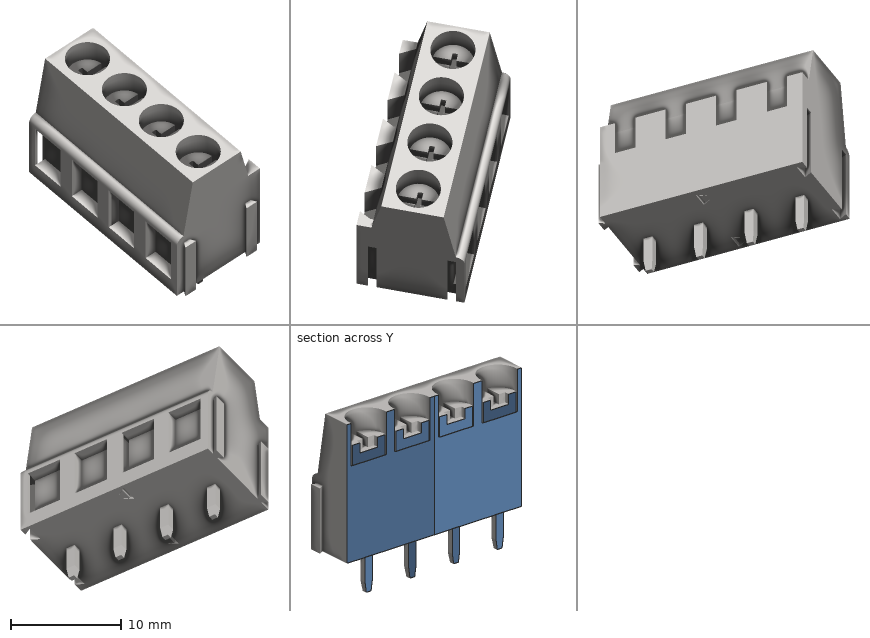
import cadquery as cq
import math


OVERALL_LENGTH = 20.87
KEY_LENGTH = 0.55
MODULE_COUNT = 2
WAYS_PER_MODULE = 2
MODULE_WIDTH = (OVERALL_LENGTH - KEY_LENGTH) / MODULE_COUNT
PITCH = MODULE_WIDTH / WAYS_PER_MODULE
DEPTH = 10.0
OVERALL_HEIGHT = 17.3
PIN_LENGTH = 3.5
HOUSING_HEIGHT = OVERALL_HEIGHT - PIN_LENGTH

FRONT_ROUND_RADIUS = 0.8
FRONT_ROUND_TOP = 7.4
FRONT_FACE_TOP = FRONT_ROUND_TOP - FRONT_ROUND_RADIUS
TOP_FRONT_Y = 1.92
TOP_BACK_Y = 7.7
LEDGE_INNER_Y = 8.6
LEDGE_HEIGHT = 9.91

WINDOW_WIDTH = 3.5
WINDOW_BOTTOM = 1.57
WINDOW_TOP = 6.43
WINDOW_DEPTH = 1.2

DOVETAIL_ANGLE = 30.0
DOVETAIL_SLOPE = math.tan(math.radians(DOVETAIL_ANGLE))
DOVETAIL_CENTRES_Y = [1.2, 8.55]
KEY_BASE_WIDTH = 0.65
KEY_HEIGHT = 6.5
GROOVE_MOUTH_WIDTH = 0.8
GROOVE_DEPTH = 0.81
GROOVE_HEIGHT = FRONT_FACE_TOP

NOTCH_BACK_WIDTH = 2.05
NOTCH_LENGTH = DEPTH - LEDGE_INNER_Y
NOTCH_INNER_WIDTH = NOTCH_BACK_WIDTH + 2 * NOTCH_LENGTH * DOVETAIL_SLOPE
NOTCH_FLOOR = GROOVE_HEIGHT
NOTCH_MIN_X = 0.9

WAY_CENTRE_Y = 4.8
WELL_DIAMETER = 4.1
SCREW_DIAMETER = 3.9
SCREW_RECESS = 2.21
SCREW_HEIGHT = 2.0
LONG_SLOT_WIDTH = 0.6
CROSS_SLOT_WIDTH = 0.5
CROSS_SLOT_LENGTH = 2.07
SCREW_SLOT_DEPTH = 1.0
SCREW_TOP = HOUSING_HEIGHT - SCREW_RECESS
WELL_FLOOR = SCREW_TOP - SCREW_HEIGHT

PIN_SIZE_X = 0.9
PIN_SIZE_Y = 0.8
PIN_TIP_X = 0.6
PIN_TIP_Y = 0.5
PIN_TIP_LENGTH = 1.05


def way_centres(way_count):
    return [(way + 0.5) * PITCH for way in range(way_count)]


def box(x_range, y_range, z_range):
    """Box spanning the given (low, high) ranges."""
    size = [high - low for low, high in (x_range, y_range, z_range)]
    corner = cq.Vector(x_range[0], y_range[0], z_range[0])
    return cq.Workplane(cq.Solid.makeBox(*size, pnt=corner))


def housing_blank():
    """Extruded side profile with a rounded front shoulder and a low ledge at the back."""
    arc_offset = FRONT_ROUND_RADIUS * (1 - math.sqrt(0.5))
    return (
        cq.Workplane("YZ")
        .moveTo(0, 0)
        .lineTo(0, FRONT_FACE_TOP)
        .threePointArc(
            (arc_offset, FRONT_ROUND_TOP - arc_offset),
            (FRONT_ROUND_RADIUS, FRONT_ROUND_TOP),
        )
        .lineTo(TOP_FRONT_Y, HOUSING_HEIGHT)
        .lineTo(TOP_BACK_Y, HOUSING_HEIGHT)
        .lineTo(LEDGE_INNER_Y, LEDGE_HEIGHT)
        .lineTo(DEPTH, LEDGE_HEIGHT)
        .lineTo(DEPTH, 0)
        .close()
        .extrude(MODULE_WIDTH)
    )


def dovetail(start_x, centre_y, narrow_width, length, height):
    """Upright dovetail bar that widens towards +X."""
    narrow_half = narrow_width / 2
    wide_half = narrow_half + length * DOVETAIL_SLOPE
    return (
        cq.Workplane("XY")
        .moveTo(start_x, centre_y - narrow_half)
        .lineTo(start_x + length, centre_y - wide_half)
        .lineTo(start_x + length, centre_y + wide_half)
        .lineTo(start_x, centre_y + narrow_half)
        .close()
        .extrude(height)
    )


def ledge_notch(centre_x):
    """Notch in the back ledge that widens inwards, kept clear of the groove in the left side."""
    back_half = NOTCH_BACK_WIDTH / 2
    inner_half = NOTCH_INNER_WIDTH / 2
    taper = (
        cq.Workplane("XY")
        .workplane(offset=NOTCH_FLOOR)
        .moveTo(centre_x - back_half, DEPTH)
        .lineTo(centre_x - inner_half, LEDGE_INNER_Y)
        .lineTo(centre_x + inner_half, LEDGE_INNER_Y)
        .lineTo(centre_x + back_half, DEPTH)
        .close()
        .extrude(LEDGE_HEIGHT - NOTCH_FLOOR)
    )
    allowed = box((NOTCH_MIN_X, MODULE_WIDTH), (LEDGE_INNER_Y, DEPTH), (NOTCH_FLOOR, LEDGE_HEIGHT))
    return taper.intersect(allowed)


def wire_window(centre_x):
    return box(
        (centre_x - WINDOW_WIDTH / 2, centre_x + WINDOW_WIDTH / 2),
        (0, WINDOW_DEPTH),
        (WINDOW_BOTTOM, WINDOW_TOP),
    )


def screw_well(centre_x):
    return (
        cq.Workplane("XY")
        .workplane(offset=WELL_FLOOR)
        .center(centre_x, WAY_CENTRE_Y)
        .circle(WELL_DIAMETER / 2)
        .extrude(HOUSING_HEIGHT - WELL_FLOOR)
    )


def make_housing():
    """Two-way housing with keys on its right side and grooves on its left side."""
    housing = housing_blank()
    for centre_y in DOVETAIL_CENTRES_Y:
        housing = housing.union(dovetail(MODULE_WIDTH, centre_y, KEY_BASE_WIDTH, KEY_LENGTH, KEY_HEIGHT))
        housing = housing.cut(dovetail(0, centre_y, GROOVE_MOUTH_WIDTH, GROOVE_DEPTH, GROOVE_HEIGHT))
    for centre_x in way_centres(WAYS_PER_MODULE):
        housing = housing.cut(wire_window(centre_x))
        housing = housing.cut(ledge_notch(centre_x))
        housing = housing.cut(screw_well(centre_x))
    return housing


def make_screw():
    """Screw head with a long slot and a short round-ended cross slot, standing on Z = 0."""
    slot_centre_z = SCREW_HEIGHT - SCREW_SLOT_DEPTH / 2
    long_slot = cq.Workplane("XY").box(LONG_SLOT_WIDTH, SCREW_DIAMETER, SCREW_SLOT_DEPTH)
    cross_slot = cq.Workplane("XY").box(CROSS_SLOT_LENGTH, CROSS_SLOT_WIDTH, SCREW_SLOT_DEPTH)
    cross_slot_ends = cq.Workplane("XY").cylinder(SCREW_SLOT_DEPTH, CROSS_SLOT_LENGTH / 2)
    cross_slot = cross_slot.intersect(cross_slot_ends)
    slots = long_slot.union(cross_slot).translate((0, 0, slot_centre_z))
    return cq.Workplane("XY").circle(SCREW_DIAMETER / 2).extrude(SCREW_HEIGHT).cut(slots)


def make_pin():
    """Rectangular solder pin with a tapered tip, hanging down from Z = 0."""
    shank_length = PIN_LENGTH - PIN_TIP_LENGTH
    shank = cq.Workplane("XY").rect(PIN_SIZE_X, PIN_SIZE_Y).extrude(-shank_length)
    tip = (
        cq.Workplane("XY")
        .workplane(offset=-shank_length)
        .rect(PIN_SIZE_X, PIN_SIZE_Y)
        .workplane(offset=-PIN_TIP_LENGTH)
        .rect(PIN_TIP_X, PIN_TIP_Y)
        .loft(ruled=True)
    )
    return shank.union(tip)


housings = []
for module in range(MODULE_COUNT):
    housings.append(make_housing().translate((module * MODULE_WIDTH, 0, 0)).val())

screws = []
pins = []
for way_x in way_centres(MODULE_COUNT * WAYS_PER_MODULE):
    screws.append(make_screw().translate((way_x, WAY_CENTRE_Y, WELL_FLOOR)).val())
    pins.append(make_pin().translate((way_x, WAY_CENTRE_Y, 0)).val())

result = cq.Compound.makeCompound([*housings, *screws, *pins])